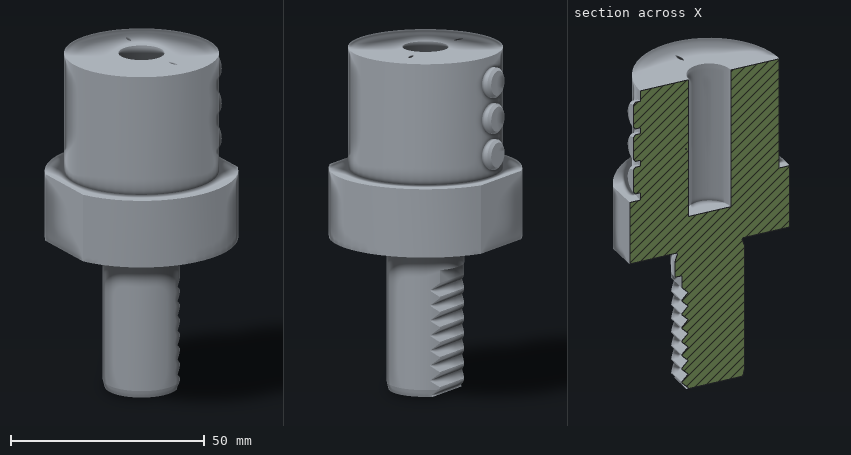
import cadquery as cq
import math

total_height = 90.6
turn_angle = 0.8

body_diameter = 40.0
body_height = 32.0
bore_diameter = 12.0
bore_depth = 40.0

flange_diameter = 50.0
flange_height = 18.1
width_across_flats = 46.0

shank_diameter = 20.0
neck_diameter = 19.1
neck_height = 0.8
neck_taper_height = 1.4
groove_diameter = 18.6
groove_width = 0.3
tip_taper_height = 1.9

flat_offset = 8.1
flat_start = 7.0
tooth_pitch = 4.0
groove_depth = 1.8
first_groove = 12.2
groove_count = 8

screw_diameter = 8.0
screw_reach = 22.0
screw_chamfer = 0.7
first_screw = 7.0
screw_pitch = 9.5
screw_count = 3

slit_offset_x = 11.5
slit_offset_y = 2.8
slit_length = 3.7
slit_width = 1.1
slit_turn = 11.0
slit_lean = 40.0
slit_depth = 2.3

body_radius = body_diameter / 2
shank_radius = shank_diameter / 2
neck_radius = neck_diameter / 2
groove_radius = groove_diameter / 2
flange_top = total_height - body_height
flange_bottom = flange_top - flange_height


def make_shank():
    """Revolved shank with a tapered tip and a grooved relief neck."""
    neck_bottom = flange_bottom - neck_height
    groove_bottom = neck_bottom + (neck_height - groove_width) / 2
    outline = [
        (0, 0),
        (neck_radius, 0),
        (shank_radius, tip_taper_height),
        (shank_radius, neck_bottom - neck_taper_height),
        (neck_radius, neck_bottom),
        (neck_radius, groove_bottom),
        (groove_radius, groove_bottom),
        (groove_radius, groove_bottom + groove_width),
        (neck_radius, groove_bottom + groove_width),
        (neck_radius, flange_bottom),
        (0, flange_bottom),
    ]
    return cq.Workplane("XZ").polyline(outline).close().revolve(360, (0, 0), (0, 1))


def make_rack_cut():
    """Material removed for the flat and its row of V grooves."""
    flat_top = flange_bottom - flat_start
    cut = cq.Workplane("XY").box(
        shank_diameter, shank_diameter, flat_top, centered=(True, False, False)
    ).translate((0, flat_offset, 0))
    for index in range(groove_count):
        groove_z = flange_bottom - first_groove - index * tooth_pitch
        groove = (
            cq.Workplane("YZ")
            .moveTo(flat_offset - groove_depth, groove_z)
            .lineTo(flat_offset, groove_z + groove_depth)
            .lineTo(flat_offset, groove_z - groove_depth)
            .close()
            .extrude(shank_radius, both=True)
        )
        cut = cut.union(groove)
    return cut


def make_flange():
    """Disc trimmed by two parallel flats facing -Y and +Y."""
    disc = cq.Workplane("XY").circle(flange_diameter / 2).extrude(flange_height)
    trim = cq.Workplane("XY").box(
        flange_diameter, width_across_flats, flange_height, centered=(True, True, False)
    )
    return disc.intersect(trim).translate((0, 0, flange_bottom))


def make_screw(screw_z):
    """Screw pointing along +Y, rooted inside the wall of the body."""
    root_y = (bore_diameter + body_diameter) / 4
    root_plane = cq.Plane(origin=(0, root_y, screw_z), xDir=(1, 0, 0), normal=(0, 1, 0))
    return (
        cq.Workplane(root_plane)
        .circle(screw_diameter / 2)
        .extrude(screw_reach - root_y)
        .faces(">Y")
        .chamfer(screw_chamfer)
    )


def make_slit(side):
    """Lens-shaped cutter on the +X (side = 1) or -X (side = -1) half of the top face."""
    turn = math.radians(side * slit_turn)
    lean = math.radians(slit_lean)
    along = (math.cos(turn), math.sin(turn), 0)
    outward = (-math.sin(turn) * math.sin(lean), math.cos(turn) * math.sin(lean), math.cos(lean))
    center = (side * slit_offset_x, slit_offset_y, total_height)
    half_length = slit_length / 2
    half_width = slit_width / 2 * math.cos(lean)
    return (
        cq.Workplane(cq.Plane(origin=center, xDir=along, normal=outward))
        .moveTo(-half_length, 0)
        .threePointArc((0, half_width), (half_length, 0))
        .threePointArc((0, -half_width), (-half_length, 0))
        .close()
        .extrude(slit_depth, both=True)
    )


body = cq.Workplane("XY").workplane(offset=flange_top).circle(body_radius).extrude(body_height)
bore = (
    cq.Workplane("XY")
    .workplane(offset=total_height - bore_depth)
    .circle(bore_diameter / 2)
    .extrude(bore_depth)
)

holder = make_shank().cut(make_rack_cut()).union(make_flange()).union(body)
for index in range(screw_count):
    holder = holder.union(make_screw(total_height - first_screw - index * screw_pitch))
holder = holder.cut(bore)
for side in (-1, 1):
    holder = holder.cut(make_slit(side))

result = holder.rotate((0, 0, 0), (0, 0, 1), turn_angle)